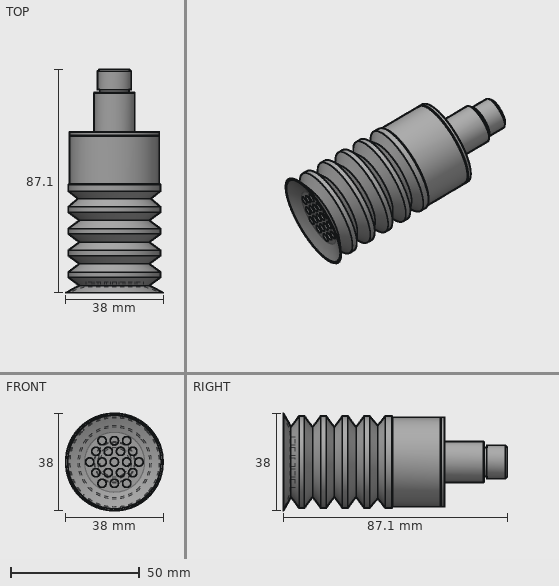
import cadquery as cq
import math

TOTAL_LENGTH = 87.1

stem_tip_radius = 13.15 / 2
stem_groove_radius = 11.4 / 2
stem_radius = 16.0 / 2
stem_tip_chamfer = 0.9
stem_chamfer = 0.3
stem_tip_start = 79.1
stem_end = 78.0

body_radius = 35.0 / 2
body_start = 42.3
body_end = 62.7
body_chamfer = 0.2
body_groove_center = 61.15
body_groove_width = 0.35
body_groove_depth = 0.2

fold_radius = 36.0 / 2
valley_radius = 13.7
first_valley_radius = 14.3
fold_count = 4
fold_pitch = 8.45
fold_width = 2.1
first_valley = 2.9
collar_start = 39.6
collar_chamfer = fold_radius - body_radius

lip_radius = 19.0
cup_rim_radius = 18.2
cup_floor_radius = 11.7
cup_depth = 2.4
lip_bulge = 0.13
cup_wall_bulge = 0.2

hole_diameter = 3.2
hole_pitch = 4.8
hole_depth = 2.0
hole_rings = 2


def revolve_about_y(profile):
    return profile.close().revolve(360, (0, 0, 0), (0, 1, 0))


def bellows_points():
    """Zigzag from the valley behind the lip to the valley below the collar."""
    points = []
    for index in range(fold_count):
        valley = first_valley + index * fold_pitch
        fold_center = valley + fold_pitch / 2
        points.append((valley_radius, valley))
        points.append((fold_radius, fold_center - fold_width / 2))
        points.append((fold_radius, fold_center + fold_width / 2))
    points.append((first_valley_radius, first_valley + fold_count * fold_pitch))
    return points


def make_outer_shape():
    body_points = [
        (fold_radius, collar_start),
        (fold_radius, body_start - collar_chamfer / 2),
        (body_radius, body_start + collar_chamfer / 2),
        (body_radius, body_end - body_chamfer),
        (body_radius - body_chamfer, body_end),
    ]
    stem_points = [
        (stem_radius, body_end),
        (stem_radius, stem_end - stem_chamfer),
        (stem_radius - stem_chamfer, stem_end),
        (stem_groove_radius, stem_end),
        (stem_groove_radius, stem_tip_start),
        (stem_tip_radius, stem_tip_start),
        (stem_tip_radius, TOTAL_LENGTH - stem_tip_chamfer),
        (stem_tip_radius - stem_tip_chamfer, TOTAL_LENGTH),
        (0, TOTAL_LENGTH),
    ]
    lip_middle = ((lip_radius + valley_radius) / 2, first_valley / 2 + lip_bulge)
    points_behind_lip = bellows_points() + body_points + stem_points
    profile = (
        cq.Workplane("XY")
        .lineTo(lip_radius, 0)
        .threePointArc(lip_middle, points_behind_lip[0])
        .polyline(points_behind_lip)
    )
    return revolve_about_y(profile)


def make_cup():
    """Shallow dished recess with a flat floor and a slightly rounded wall."""
    wall_middle = ((cup_rim_radius + cup_floor_radius) / 2, cup_depth / 2 + cup_wall_bulge)
    profile = (
        cq.Workplane("XY")
        .lineTo(cup_rim_radius, 0)
        .threePointArc(wall_middle, (cup_floor_radius, cup_depth))
        .lineTo(0, cup_depth)
    )
    return revolve_about_y(profile)


def make_body_groove():
    inner_radius = body_radius - body_groove_depth
    start = body_groove_center - body_groove_width / 2
    ring = cq.Workplane("XZ", origin=(0, start, 0)).circle(fold_radius).circle(inner_radius)
    return ring.extrude(-body_groove_width)


def hole_centers():
    row_pitch = hole_pitch * math.sqrt(3) / 2
    centers = []
    for row in range(-hole_rings, hole_rings + 1):
        holes_in_row = 2 * hole_rings + 1 - abs(row)
        for column in range(holes_in_row):
            x = (column - (holes_in_row - 1) / 2) * hole_pitch
            centers.append((x, row * row_pitch))
    return centers


def make_suction_holes():
    floor = cq.Workplane("XZ", origin=(0, cup_depth, 0))
    return floor.pushPoints(hole_centers()).circle(hole_diameter / 2).extrude(-hole_depth)


result = (
    make_outer_shape()
    .cut(make_cup())
    .cut(make_body_groove())
    .cut(make_suction_holes())
)